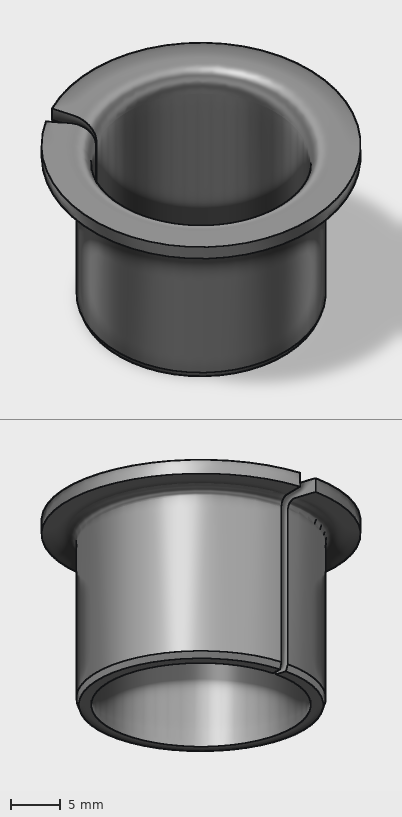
import cadquery as cq
import math

height = 20.0
flange_radius = 16.0
bore_radius = 11.0
wall = 1.5
outer_bend_radius = 1.0
chamfer_height = 0.7
chamfer_width = 0.25
gap_at_bore = 0.35
gap_side_angle = 10.0
gap_overshoot = 1.6

body_radius = bore_radius + wall
inner_bend_radius = outer_bend_radius + wall
bend_center_r = bore_radius + inner_bend_radius
bend_center_z = height - inner_bend_radius


def bend_midpoint(radius):
    """Point halfway along a quarter bend from the wall to the flange."""
    offset = radius * math.sqrt(0.5)
    return bend_center_r - offset, bend_center_z + offset


def make_bushing():
    """Revolve the wall, concentric bend and flange about Z."""
    return (
        cq.Workplane("XZ")
        .moveTo(bore_radius, 0)
        .lineTo(body_radius - chamfer_width, 0)
        .lineTo(body_radius, chamfer_height)
        .lineTo(body_radius, bend_center_z)
        .threePointArc(bend_midpoint(outer_bend_radius), (bend_center_r, height - wall))
        .lineTo(flange_radius, height - wall)
        .lineTo(flange_radius, height)
        .lineTo(bend_center_r, height)
        .threePointArc(bend_midpoint(inner_bend_radius), (bore_radius, bend_center_z))
        .close()
        .revolve(360, (0, 0), (0, 1))
        .rotate((0, 0, 0), (0, 0, 1), 180)
    )


def make_gap():
    """Wedge on the -X side that widens outward and splits the full height."""
    slope = math.tan(math.radians(gap_side_angle))
    half_inner = gap_at_bore / 2
    apex_x = -bore_radius + half_inner / slope
    end_x = -(flange_radius + gap_overshoot)
    half_outer = (apex_x - end_x) * slope
    return (
        cq.Workplane("XY")
        .polyline([(apex_x, 0), (end_x, half_outer), (end_x, -half_outer)])
        .close()
        .extrude(height)
    )


result = make_bushing().cut(make_gap())